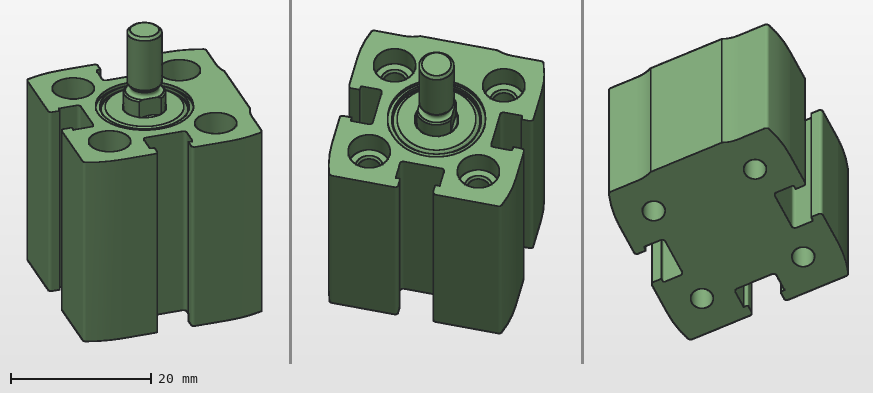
import cadquery as cq
import math


housing_height = 29.5
overall_height = 42.0
housing_width = 27.0
half_width = housing_width / 2
side_flat_half = 8.0
side_bow_radius = 15.95
corner_radius = 0.5

pad_height = 0.5
pad_foot_half = 8.0
pad_flat_half = 5.63

slot_mouth_half = 2.55
slot_pocket_half = 3.25
slot_lip = 1.7
slot_depth = 4.85
slot_mouth_radius = 0.45
slot_floor_radius = 0.5
slot_lip_radius = 0.2

hole_pitch = 16.0
hole_offset = hole_pitch / 2
counterbore_diameter = 6.0
counterbore_depth = 3.5
hole_diameter = 3.25
hole_mouth_diameter = 3.9

recess_radius = 14.0 / 2
recess_depth = 0.5
lip_radius = 6.4
lip_depth = 0.13
gap_depth = 0.67
bushing_radius = 6.2
bushing_edge_depth = 0.55
bushing_mid_radius = 5.9
bushing_mid_depth = 0.3
bushing_face_radius = 5.63
bushing_face_depth = 0.15

rod_radius = 6.0 / 2
rod_reach = 8.4
rod_clearance_radius = 6.25 / 2
rod_clearance_depth = 0.5
flat_half = 5.0 / 2
flat_foot_rise = 0.315
collar_height = 2.55
collar_chamfer = 0.25
thread_radius = 5.0 / 2
thread_start = 3.95
thread_chamfer = 0.4
neck_radius = 3.9 / 2
neck_top_radius = 4.1 / 2
neck_low = 3.02
neck_high = 3.28
neck_cone_end = 3.53


def side_bow_inset(y):
    """Distance by which a curved side has moved inward at a given distance y from the X axis."""
    run = y - side_flat_half
    return side_bow_radius - math.sqrt(side_bow_radius**2 - run**2)


def make_profile():
    """Outer block: bowed sides and a raised pad on +Y, without slots."""
    corner_x = half_width - side_bow_inset(half_width)
    bow_mid_y = (side_flat_half + half_width) / 2
    bow_mid_x = half_width - side_bow_inset(bow_mid_y)
    block = (
        cq.Workplane("XY")
        .moveTo(-corner_x, -half_width)
        .lineTo(corner_x, -half_width)
        .threePointArc((bow_mid_x, -bow_mid_y), (half_width, -side_flat_half))
        .lineTo(half_width, side_flat_half)
        .threePointArc((bow_mid_x, bow_mid_y), (corner_x, half_width))
        .lineTo(-corner_x, half_width)
        .threePointArc((-bow_mid_x, bow_mid_y), (-half_width, side_flat_half))
        .lineTo(-half_width, -side_flat_half)
        .threePointArc((-bow_mid_x, -bow_mid_y), (-corner_x, -half_width))
        .close()
        .extrude(housing_height)
    )
    block = block.edges("|Z and (<Y or >Y)").fillet(corner_radius)

    pad_top = half_width + pad_height
    pad_run = pad_foot_half - pad_flat_half
    pad_arc_radius = (pad_run**2 + pad_height**2) / (2 * pad_height)
    pad_mid_x = (pad_foot_half + pad_flat_half) / 2
    pad_mid_rise = pad_arc_radius - math.sqrt(pad_arc_radius**2 - (pad_run / 2)**2)
    pad = (
        cq.Workplane("XY")
        .moveTo(-pad_foot_half, 0)
        .lineTo(pad_foot_half, 0)
        .lineTo(pad_foot_half, half_width)
        .threePointArc((pad_mid_x, half_width + pad_mid_rise), (pad_flat_half, pad_top))
        .lineTo(-pad_flat_half, pad_top)
        .threePointArc((-pad_mid_x, half_width + pad_mid_rise), (-pad_foot_half, half_width))
        .close()
        .extrude(housing_height)
    )
    return block.union(pad)


def make_slot(rounded_lips):
    """T-slot cutter that opens toward -Y, rounded at the lip tips or at the pocket corners behind them."""
    floor_y = slot_depth - half_width
    lip_y = slot_lip - half_width
    mouth_end_y = (floor_y + lip_y) / 2
    pocket = (
        cq.Workplane("XY")
        .rect(2 * slot_pocket_half, slot_depth - slot_lip)
        .extrude(housing_height)
        .translate((0, mouth_end_y, 0))
    )
    pocket = pocket.edges("|Z and >Y").fillet(slot_floor_radius)
    if not rounded_lips:
        pocket = pocket.edges("|Z and <Y").fillet(slot_lip_radius)
    flare = slot_mouth_half + slot_mouth_radius
    turn = slot_mouth_radius * (1 - math.sqrt(0.5))
    lip_edge_y = slot_mouth_radius - half_width
    mouth = (
        cq.Workplane("XY")
        .moveTo(-flare, -half_width)
        .threePointArc((-slot_mouth_half - turn, turn - half_width), (-slot_mouth_half, lip_edge_y))
        .lineTo(-slot_mouth_half, mouth_end_y)
        .lineTo(slot_mouth_half, mouth_end_y)
        .lineTo(slot_mouth_half, lip_edge_y)
        .threePointArc((slot_mouth_half + turn, turn - half_width), (flare, -half_width))
        .close()
        .extrude(housing_height)
    )
    slot = pocket.union(mouth)
    if rounded_lips:
        middle = housing_height / 2
        box = slot_lip_radius
        for x in (-slot_mouth_half, slot_mouth_half):
            tip = cq.selectors.BoxSelector(
                (x - box, lip_y - box, middle - box),
                (x + box, lip_y + box, middle + box),
            )
            slot = slot.edges(tip).fillet(slot_lip_radius)
    return slot


def make_screw_hole():
    """Counterbored through hole with a countersunk mouth, on the Z axis."""
    floor_z = housing_height - counterbore_depth
    hole_radius = hole_diameter / 2
    mouth_radius = hole_mouth_diameter / 2
    return (
        cq.Workplane("XZ")
        .moveTo(0, 0)
        .lineTo(hole_radius, 0)
        .lineTo(hole_radius, floor_z - (mouth_radius - hole_radius))
        .lineTo(mouth_radius, floor_z)
        .lineTo(counterbore_diameter / 2, floor_z)
        .lineTo(counterbore_diameter / 2, housing_height)
        .lineTo(0, housing_height)
        .close()
        .revolve(360, (0, 0, 0), (0, 1, 0))
    )


def make_bushing_recess():
    """Cutter that leaves a sloped ring floor and a bushing with a bevelled rim."""
    top = housing_height
    return (
        cq.Workplane("XZ")
        .moveTo(0, top)
        .lineTo(recess_radius, top)
        .lineTo(recess_radius, top - recess_depth)
        .lineTo(lip_radius, top - lip_depth)
        .lineTo(lip_radius, top - gap_depth)
        .lineTo(bushing_radius, top - gap_depth)
        .lineTo(bushing_radius, top - bushing_edge_depth)
        .lineTo(bushing_mid_radius, top - bushing_mid_depth)
        .lineTo(bushing_face_radius, top - bushing_face_depth)
        .lineTo(0, top - bushing_face_depth)
        .close()
        .revolve(360, (0, 0, 0), (0, 1, 0))
    )


def make_rod_bore():
    """Blind bore that fits the rod, with a short clearance at its mouth."""
    fit = (
        cq.Workplane("XY")
        .workplane(offset=housing_height - rod_reach)
        .circle(rod_radius)
        .extrude(rod_reach)
    )
    clearance = (
        cq.Workplane("XY")
        .workplane(offset=housing_height - rod_clearance_depth)
        .circle(rod_clearance_radius)
        .extrude(rod_clearance_depth)
    )
    return fit.union(clearance)


def make_housing():
    body = make_profile()
    body = body.cut(make_slot(True))
    for angle in (-90, 90):
        body = body.cut(make_slot(False).rotate((0, 0, 0), (0, 0, 1), angle))
    screw_hole = make_screw_hole()
    for x in (-hole_offset, hole_offset):
        for y in (-hole_offset, hole_offset):
            body = body.cut(screw_hole.translate((x, y, 0)))
    return body.cut(make_bushing_recess()).cut(make_rod_bore())


def make_rod():
    """Rod with a flatted collar, an undercut neck and a chamfered thread."""
    top = housing_height
    foot_z = top - rod_clearance_depth
    shaft = (
        cq.Workplane("XZ")
        .moveTo(0, top - rod_reach)
        .lineTo(rod_radius, top - rod_reach)
        .lineTo(rod_radius, foot_z)
        .lineTo(flat_half, foot_z + flat_foot_rise)
        .lineTo(0, foot_z + flat_foot_rise)
        .close()
        .revolve(360, (0, 0, 0), (0, 1, 0))
    )
    collar_length = collar_height + rod_clearance_depth
    foot_plane = cq.Workplane("XY").workplane(offset=foot_z)
    collar = foot_plane.circle(rod_radius).extrude(collar_length)
    collar = collar.faces(">Z").chamfer(collar_chamfer)
    flats = foot_plane.rect(2 * flat_half, 2 * rod_radius).extrude(collar_length)
    collar = collar.intersect(flats)

    fillet = neck_low - collar_height
    bend = fillet * (1 - math.sqrt(0.5))
    thread = (
        cq.Workplane("XZ")
        .moveTo(0, top + collar_height)
        .lineTo(neck_radius + fillet, top + collar_height)
        .threePointArc((neck_radius + bend, top + collar_height + bend), (neck_radius, top + neck_low))
        .lineTo(neck_radius, top + neck_high)
        .lineTo(neck_top_radius, top + neck_cone_end)
        .lineTo(thread_radius, top + thread_start)
        .lineTo(thread_radius, overall_height - thread_chamfer)
        .lineTo(thread_radius - thread_chamfer, overall_height)
        .lineTo(0, overall_height)
        .close()
        .revolve(360, (0, 0, 0), (0, 1, 0))
    )
    return shaft.union(collar).union(thread)


housing = make_housing()
rod = make_rod()
result = cq.Compound.makeCompound([housing.val(), rod.val()])